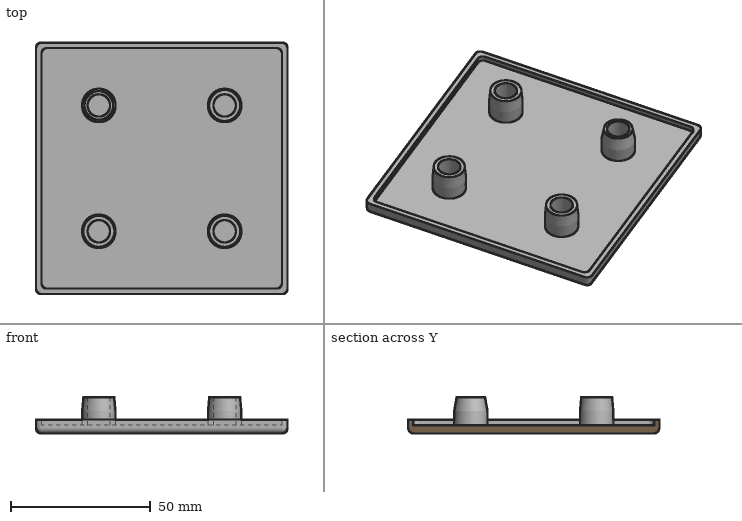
import cadquery as cq
import math

tray_side = 90.0
tray_height = 5.0
edge_radius = 2.0
rim_width = 2.0
floor_thickness = 3.0
pocket_corner_radius = 2.0

overall_height = 13.0
post_spacing = tray_side / 2
post_diameter = 12.0
bore_diameter = 8.0
taper_height = 5.0
taper_angle = 5.0
steep_taper_angle = 10.0

post_height = overall_height - floor_thickness
straight_height = post_height - taper_height


def make_tray():
    """Shallow square tray with rounded corners and a rounded bottom edge."""
    body = (
        cq.Workplane("XY")
        .rect(tray_side, tray_side)
        .extrude(tray_height)
        .edges("|Z")
        .fillet(edge_radius)
        .faces("<Z")
        .edges()
        .fillet(edge_radius)
    )
    pocket_side = tray_side - 2 * rim_width
    pocket = (
        cq.Workplane("XY")
        .workplane(offset=floor_thickness)
        .rect(pocket_side, pocket_side)
        .extrude(tray_height - floor_thickness)
        .edges("|Z")
        .fillet(pocket_corner_radius)
    )
    return body.cut(pocket)


def make_post(x, y, angle):
    """Hollow post: straight lower part, tapered upper part, bore down to the floor."""
    tip_radius = post_diameter / 2 - taper_height * math.tan(math.radians(angle))
    profile = (
        cq.Workplane("XZ")
        .moveTo(bore_diameter / 2, 0)
        .lineTo(post_diameter / 2, 0)
        .lineTo(post_diameter / 2, straight_height)
        .lineTo(tip_radius, post_height)
        .lineTo(bore_diameter / 2, post_height)
        .close()
    )
    post = profile.revolve(360, (0, 0, 0), (0, 1, 0))
    return post.translate((x, y, floor_thickness))


result = make_tray()
for x_side in (-1, 1):
    for y_side in (-1, 1):
        is_steep = x_side < 0 and y_side > 0
        angle = steep_taper_angle if is_steep else taper_angle
        post = make_post(x_side * post_spacing / 2, y_side * post_spacing / 2, angle)
        result = result.union(post)